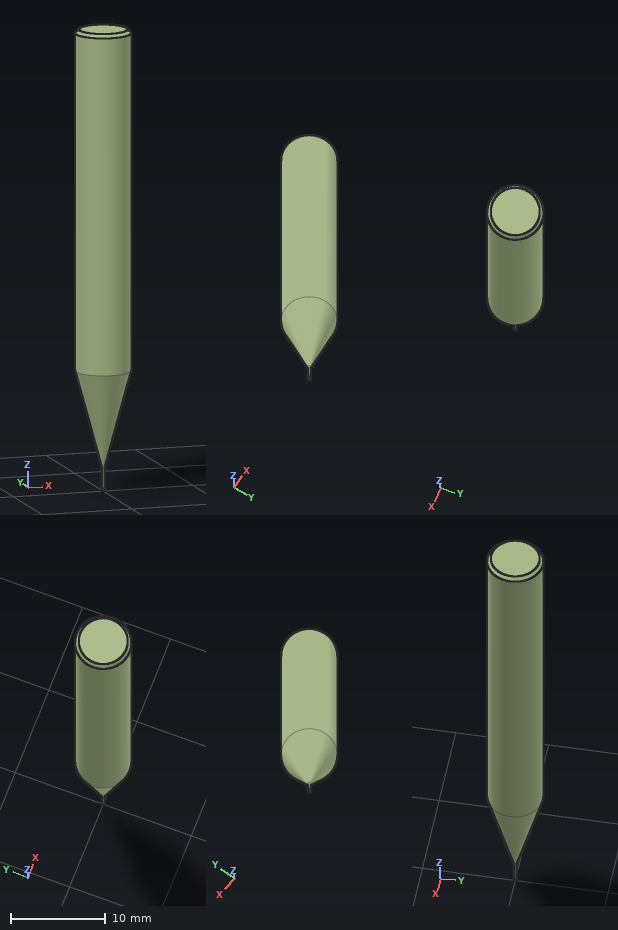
import cadquery as cq
import math

length = 50.0
shank_radius = 3.0
shank_chamfer = 0.4

neck_radius = 0.175
neck_top = 2.45
cone_bottom = 2.75
cone_half_angle = math.radians(15.1)
cone_end_radius = neck_radius + (cone_bottom - neck_top) * math.tan(cone_half_angle / 2)
cone_top = cone_bottom + (shank_radius - cone_end_radius) / math.tan(cone_half_angle)

head_radius = 0.2
head_height = 0.3


def revolve_about_tool_axis(profile):
    """Turn a closed radius-height profile once around Z."""
    return profile.close().revolve(360, (0, 0, 0), (0, 1, 0))


def make_holder():
    """Chamfered shank, cone and neck, turned as one body."""
    profile = (
        cq.Workplane("XZ")
        .moveTo(0, head_height)
        .lineTo(neck_radius, head_height)
        .lineTo(neck_radius, neck_top)
        .tangentArcPoint((cone_end_radius, cone_bottom), relative=False)
        .lineTo(shank_radius, cone_top)
        .lineTo(shank_radius, length - shank_chamfer)
        .lineTo(shank_radius - shank_chamfer, length)
        .lineTo(0, length)
    )
    return revolve_about_tool_axis(profile)


def make_cutting_head():
    """Short cylinder with a hemispherical nose, seated on the end of the neck."""
    arc_middle = head_radius * math.sqrt(0.5)
    profile = (
        cq.Workplane("XZ")
        .threePointArc((arc_middle, head_radius - arc_middle), (head_radius, head_radius))
        .lineTo(head_radius, head_height)
        .lineTo(0, head_height)
    )
    return revolve_about_tool_axis(profile)


holder = make_holder()
cutting_head = make_cutting_head()

result = cq.Compound.makeCompound([holder.val(), cutting_head.val()])